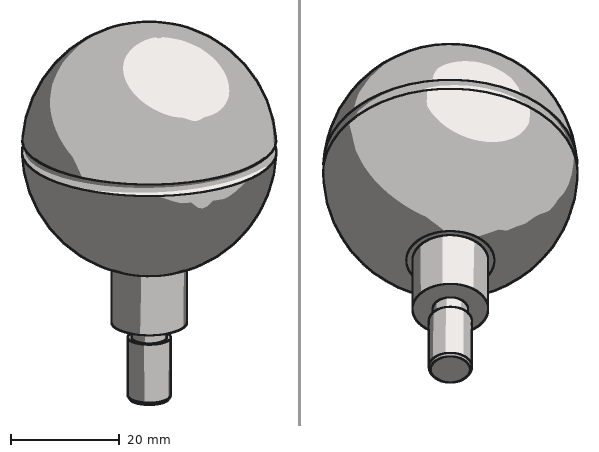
import cadquery as cq
import math

total_height = 72.5

ball_radius = 47.0 / 2
ball_centre_z = total_height - ball_radius

groove_low_z = 48.4
groove_high_z = 50.7
groove_floor_radius = 22.55

stud_radius = 8.0 / 2
stud_length = 11.95
stud_chamfer_height = 0.6
stud_chamfer_inset = 0.35
neck_radius = 6.5 / 2
neck_length = 3.0
collar_radius = 14.0 / 2
collar_length = 12.0

stud_top_z = stud_length
neck_top_z = stud_top_z + neck_length
ball_base_z = neck_top_z + collar_length


def ball_radius_at(z):
    """Radius of the ball's surface at height z."""
    return math.sqrt(ball_radius**2 - (z - ball_centre_z) ** 2)


def ball_point(z):
    """Point of the half profile on the ball's surface at height z."""
    return (ball_radius_at(z), z)


def knob_profile():
    """Half profile of the whole knob in the XZ plane, starting on the axis."""
    lower_arc_mid_z = (ball_base_z + groove_low_z) / 2
    upper_arc_mid_z = (groove_high_z + total_height) / 2
    groove_mid_z = (groove_low_z + groove_high_z) / 2
    return (
        cq.Workplane("XZ")
        .moveTo(0, 0)
        .lineTo(stud_radius - stud_chamfer_inset, 0)
        .lineTo(stud_radius, stud_chamfer_height)
        .lineTo(stud_radius, stud_top_z)
        .lineTo(neck_radius, stud_top_z)
        .lineTo(neck_radius, neck_top_z)
        .lineTo(collar_radius, neck_top_z)
        .lineTo(collar_radius, ball_base_z)
        .lineTo(*ball_point(ball_base_z))
        .threePointArc(ball_point(lower_arc_mid_z), ball_point(groove_low_z))
        .threePointArc((groove_floor_radius, groove_mid_z), ball_point(groove_high_z))
        .threePointArc(ball_point(upper_arc_mid_z), (0, total_height))
        .close()
    )


result = knob_profile().revolve(360, (0, 0, 0), (0, 1, 0))